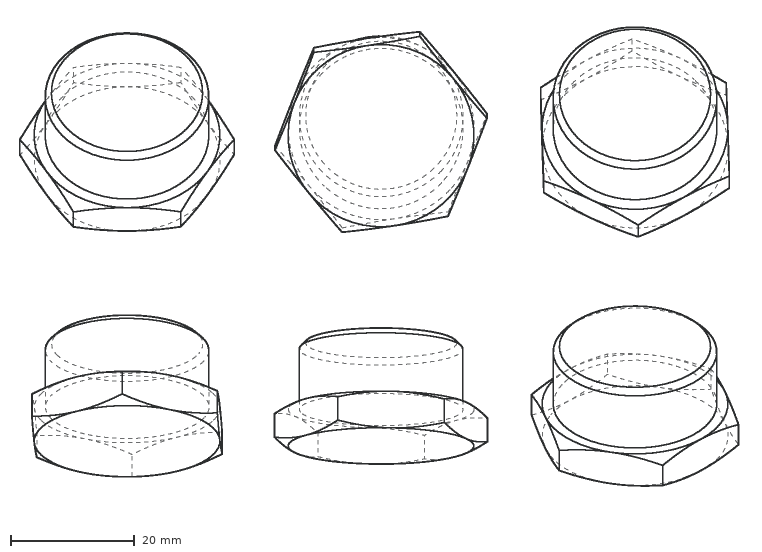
import cadquery as cq
import math

corner_width = 34.65
flat_width = corner_width * math.cos(math.radians(30))
head_height = 6.03
head_chamfer_angle = 25.0

total_height = 17.0
plug_diameter = 26.43
plug_chamfer = 1.0


def make_head():
    """Hexagon whose corners are turned off by a cone at the top and the bottom."""
    hexagon = (
        cq.Workplane("XY")
        .polygon(6, corner_width)
        .extrude(head_height)
        .rotate((0, 0, 0), (0, 0, 1), 90)
    )
    face_radius = flat_width / 2
    corner_radius = corner_width / 2
    chamfer_drop = (corner_radius - face_radius) * math.tan(math.radians(head_chamfer_angle))
    turned_blank = (
        cq.Workplane("XZ")
        .moveTo(0, 0)
        .lineTo(face_radius, 0)
        .lineTo(corner_radius, chamfer_drop)
        .lineTo(corner_radius, head_height - chamfer_drop)
        .lineTo(face_radius, head_height)
        .lineTo(0, head_height)
        .close()
        .revolve(360, (0, 0, 0), (0, 1, 0))
    )
    return hexagon.intersect(turned_blank)


def make_plug():
    """Cylinder from the top of the head, with a chamfered top edge."""
    return (
        cq.Workplane("XY")
        .workplane(offset=head_height)
        .circle(plug_diameter / 2)
        .extrude(total_height - head_height)
        .faces(">Z")
        .chamfer(plug_chamfer)
    )


result = make_head().union(make_plug())